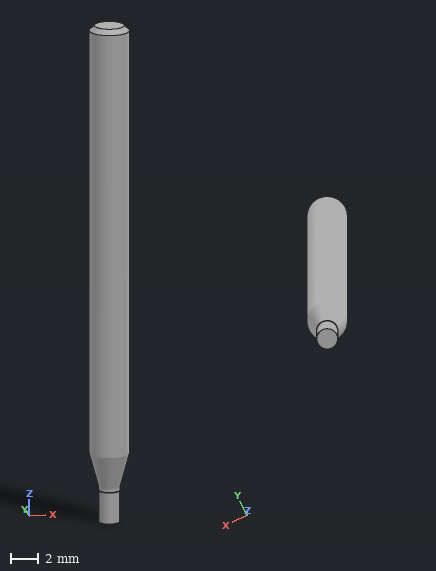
import cadquery as cq

total_length = 38.1
shank_diameter = 3.0
tip_diameter = 1.55
neck_diameter = 1.6

tip_length = 2.4
neck_length = 0.25
neck_chamfer_length = 0.05
taper_length = 2.6
top_chamfer = 0.4

shank_radius = shank_diameter / 2
tip_radius = tip_diameter / 2
neck_radius = neck_diameter / 2
half_length = total_length / 2
bottom_z = -half_length
top_z = half_length
joint_z = bottom_z + tip_length
taper_bottom_z = joint_z + neck_length
taper_top_z = taper_bottom_z + taper_length


def make_tip():
    """Plain cylindrical cutting tip, butted against the neck of the shank."""
    return cq.Workplane("XY").workplane(offset=bottom_z).circle(tip_radius).extrude(tip_length)


def make_shank():
    """Turned shank: short neck chamfered down to the tip, taper, long cylinder and chamfered top."""
    half_profile = (
        cq.Workplane("XZ")
        .moveTo(0, joint_z)
        .lineTo(tip_radius, joint_z)
        .lineTo(neck_radius, joint_z + neck_chamfer_length)
        .lineTo(neck_radius, taper_bottom_z)
        .lineTo(shank_radius, taper_top_z)
        .lineTo(shank_radius, top_z - top_chamfer)
        .lineTo(shank_radius - top_chamfer, top_z)
        .lineTo(0, top_z)
        .close()
    )
    return half_profile.revolve(360, (0, 0, 0), (0, 1, 0))


tip = make_tip()
shank = make_shank()
result = cq.Compound.makeCompound([tip.val(), shank.val()])